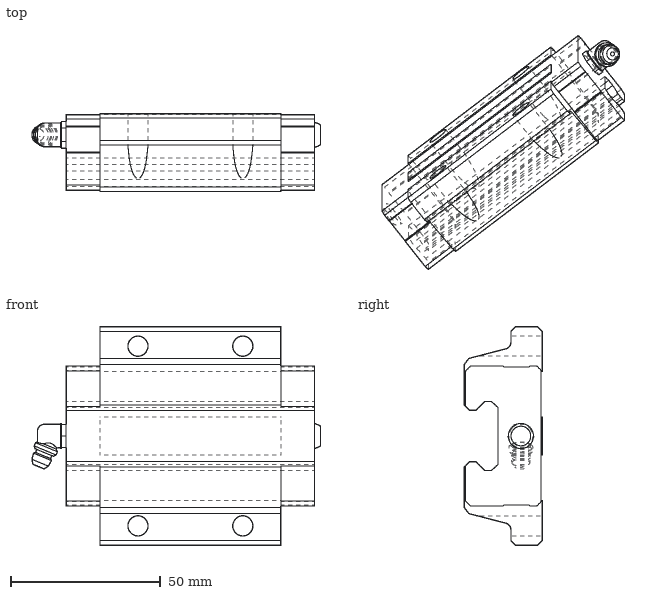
import cadquery as cq
import math


body_length = 60.4
flange_span = 73.0
thickness = 26.0
flange_thickness = 10.5
flange_chamfer = 1.5
root_fillet = 2.1
shoulder_angle = 14.5
shoulder_depth = 24.5
shoulder_half = 25.9
front_half = 23.9

relief_depth = 0.4
relief_inner = 6.4
relief_outer = 21.6

hole_diameter = 6.7
hole_pitch_x = 35.0
hole_pitch_z = 60.0

overall_block_length = 83.0
cap_length = (overall_block_length - body_length) / 2
cap_span = 46.8
cap_back_gap = 0.4
cap_front_gap = 0.4
cap_back_chamfer = 1.4
cap_front_chamfer = 1.7
cap_groove_start = 4.1
cap_groove_end = 13.1
cap_groove_depth = 0.4
cap_groove_ramp = 0.3

channel_floor_depth = 14.9
channel_floor_half = 9.55
groove_half = 11.5
groove_start = 17.0
groove_end = 19.2
lip_half = 8.6
lip_start = groove_end + groove_half - lip_half
lip_chamfer = 1.7

fitting_depth = 7.1
block_end = overall_block_length / 2
button_diameter = 8.4
button_end_diameter = 6.6
button_height = 2.0
button_bulge = 0.1

hex_across_flats = 7.8
hex_length = 1.6
collar_diameter = 8.3
collar_length = 0.3
elbow_diameter = 8.0
elbow_reach = 9.6
elbow_round = 2.5

nipple_tilt = 22.5
nipple_offset = 5.0
nipple_stem_diameter = 6.6
nipple_ring_diameter = 8.0
nipple_ring_foot_diameter = 6.8
nipple_neck_diameter = 5.5
nipple_head_diameter = 6.6
nipple_taper_diameter = 6.0
nipple_tip_diameter = 4.05
stem_end = 3.4
ring_start = 4.05
ring_end = 5.2
neck_start = 6.0
neck_end = 7.0
head_start = 7.5
taper_end = 9.6
nipple_length = 11.1
dimple_diameter = 1.35
dimple_depth = 0.6


def mirrored_outline(half_points):
    """Close an outline given on the +Z side with its mirror image on -Z."""
    mirror = [(y, -z) for y, z in reversed(half_points)]
    return half_points + mirror


def extrude_along_x(points, start, length):
    return cq.Workplane("YZ", origin=(start, 0, 0)).polyline(points).close().extrude(length)


def make_body():
    half = flange_span / 2
    slope = math.tan(math.radians(shoulder_angle))
    root_half = shoulder_half + (shoulder_depth - flange_thickness) * slope
    outline = mirrored_outline([
        (0, half - flange_chamfer),
        (-flange_chamfer, half),
        (-flange_thickness + flange_chamfer, half),
        (-flange_thickness, half - flange_chamfer),
        (-flange_thickness, root_half),
        (-shoulder_depth, shoulder_half),
        (-thickness, front_half),
    ])
    body = extrude_along_x(outline, -body_length / 2, body_length)
    for side in (1, -1):
        root = cq.selectors.NearestToPointSelector((0, -flange_thickness, side * root_half))
        body = body.edges("|X").edges(root).fillet(root_fillet)
    for side in (1, -1):
        relief = cq.Workplane("XY").box(body_length, 2 * relief_depth, relief_outer - relief_inner)
        relief = relief.translate((0, 0, side * (relief_outer + relief_inner) / 2))
        body = body.cut(relief)
    return body


def make_cap(start):
    half = cap_span / 2
    back = -cap_back_gap
    front = -thickness + cap_front_gap
    outline = mirrored_outline([
        (back, half - cap_back_chamfer),
        (back - cap_back_chamfer, half),
        (-cap_groove_start, half),
        (-cap_groove_start - cap_groove_ramp, half - cap_groove_depth),
        (-cap_groove_end + cap_groove_ramp, half - cap_groove_depth),
        (-cap_groove_end, half),
        (front + cap_front_chamfer, half),
        (front, half - cap_front_chamfer),
    ])
    return extrude_along_x(outline, start, cap_length)


def make_channel():
    outline = mirrored_outline([
        (-channel_floor_depth, channel_floor_half),
        (-groove_start, groove_half),
        (-groove_end, groove_half),
        (-lip_start, lip_half),
        (-thickness + lip_chamfer, lip_half),
        (-thickness, lip_half + lip_chamfer),
    ])
    return extrude_along_x(outline, -block_end, overall_block_length)


def make_mounting_holes():
    return (
        cq.Workplane("XZ")
        .rarray(hole_pitch_x, hole_pitch_z, 2, 2)
        .circle(hole_diameter / 2)
        .extrude(thickness)
    )


def make_button():
    base_radius = button_diameter / 2
    end_radius = button_end_diameter / 2
    middle_radius = (base_radius + end_radius) / 2
    bulge = (button_height / 2 + button_bulge, middle_radius + button_bulge)
    return (
        cq.Workplane("XY")
        .lineTo(0, base_radius)
        .threePointArc(bulge, (button_height, end_radius))
        .lineTo(button_height, 0)
        .close()
        .revolve(360, (0, 0), (1, 0))
        .translate((block_end, -fitting_depth, 0))
    )


def make_elbow():
    arm_length = elbow_reach - hex_length - collar_length
    elbow = (
        cq.Workplane("YZ")
        .polygon(6, hex_across_flats / math.cos(math.pi / 6))
        .extrude(-hex_length)
        .faces("<X")
        .workplane(origin=(0, 0, 0))
        .circle(collar_diameter / 2)
        .extrude(collar_length)
        .faces("<X")
        .workplane(origin=(0, 0, 0))
        .circle(elbow_diameter / 2)
        .extrude(arm_length)
        .faces("<X")
        .edges()
        .fillet(elbow_round)
    )
    return elbow.translate((-block_end, -fitting_depth, 0))


def make_nipple():
    stations = [
        (0, 0),
        (nipple_stem_diameter, 0),
        (nipple_stem_diameter, stem_end),
        (nipple_ring_diameter, ring_start),
        (nipple_ring_diameter, ring_end),
        (nipple_ring_foot_diameter, neck_start),
        (nipple_neck_diameter, neck_start),
        (nipple_neck_diameter, neck_end),
        (nipple_head_diameter, head_start),
        (nipple_taper_diameter, taper_end),
        (nipple_tip_diameter, nipple_length),
        (dimple_diameter, nipple_length),
        (0, nipple_length - dimple_depth),
    ]
    return (
        cq.Workplane("XZ")
        .polyline([(diameter / 2, -distance) for diameter, distance in stations])
        .close()
        .revolve(360, (0, 0), (0, 1))
        .rotate((0, 0, 0), (0, 1, 0), nipple_tilt)
        .translate((-block_end - nipple_offset, -fitting_depth, 0))
    )


block = make_body()
for cap_start in (-block_end, body_length / 2):
    block = block.union(make_cap(cap_start))
block = block.cut(make_channel()).cut(make_mounting_holes())

result = block.union(make_button()).union(make_elbow()).union(make_nipple())